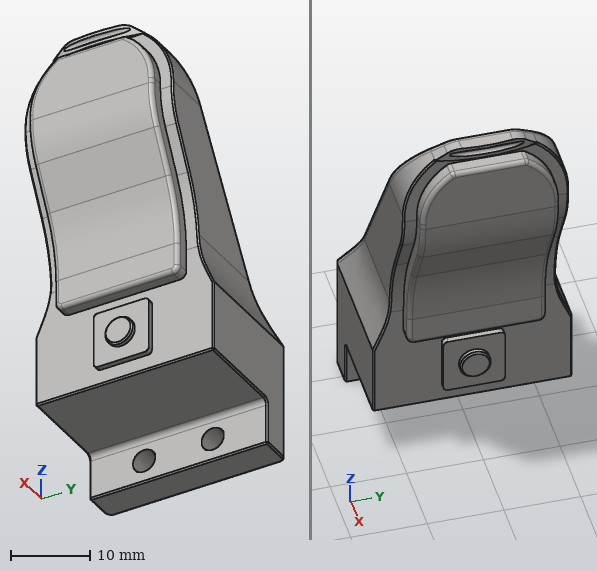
import cadquery as cq
import math

overall_height = 54.35
base_width = 26.0
base_depth = 18.25
base_top = 16.75
base_underside = 6.5
flange_thickness = 4.8
flange_corner_radius = 0.75
screw_hole_diameter = 3.25
screw_hole_spacing = 10.0
screw_hole_height = 3.2

arm_width = 21.65
arm_radius = arm_width / 2
arm_arc_height = 44.0
front_lean = 31.7
flare_top = 24.45
flare_lean = 22.0
tip_lean = 38.0
tip_corner_radius = 3.0
front_edge_radius = 1.0
edge_chamfer = 0.2
facing_limit = 0.5

pad_thickness = 2.05
overall_depth = 26.8
back_top_x = overall_depth - pad_thickness
back_lean = 27.0
upper_bend_height = 43.25
upper_bend_radius = 10.85
lower_bend_radius = 21.75

lip_bottom = 52.45
lip_half_width = 6.65
lip_bulge = 0.8
lip_groove_height = 53.4
lip_groove_radius = 0.45

plate_size = 8.05
plate_thickness = 0.8
plate_corner_radius = 0.6
plate_centre_height = 12.75
button_diameter = 4.0
button_thickness = 0.75

pad_inset = 1.8
pad_bottom = 18.55
pad_top = 51.65
pad_corner_radius = 1.0
pad_edge_radius = 0.6


def sin_deg(angle):
    return math.sin(math.radians(angle))


def cos_deg(angle):
    return math.cos(math.radians(angle))


def tan_deg(angle):
    return math.tan(math.radians(angle))


def s_curve(sketch, offset, start_z, end_z):
    """Draw the S-shaped back upwards from start_z to end_z, moved outwards by offset."""
    upper_radius = upper_bend_radius + offset
    lower_radius = lower_bend_radius - offset
    top_x = back_top_x + offset
    bottom_x = base_depth + offset
    half_lean = back_lean / 2

    upper_bend_x = top_x - upper_radius * (1 - cos_deg(back_lean))
    upper_bend_z = upper_bend_height - upper_radius * sin_deg(back_lean)
    lower_bend_x = bottom_x + lower_radius * (1 - cos_deg(back_lean))
    lower_bend_z = upper_bend_z - (upper_bend_x - lower_bend_x) / tan_deg(back_lean)
    lower_end_z = lower_bend_z - lower_radius * sin_deg(back_lean)

    lower_middle = (
        bottom_x + lower_radius * (1 - cos_deg(half_lean)),
        lower_end_z + lower_radius * sin_deg(half_lean),
    )
    upper_middle = (
        top_x - upper_radius * (1 - cos_deg(half_lean)),
        upper_bend_height - upper_radius * sin_deg(half_lean),
    )
    return (
        sketch.lineTo(bottom_x, start_z)
        .lineTo(bottom_x, lower_end_z)
        .threePointArc(lower_middle, (lower_bend_x, lower_bend_z))
        .lineTo(upper_bend_x, upper_bend_z)
        .threePointArc(upper_middle, (top_x, upper_bend_height))
        .lineTo(top_x, end_z)
    )


def bracket_side():
    """Side profile of the bracket, extruded over the full width."""
    front_top_x = (overall_height - base_top) * tan_deg(front_lean)
    sketch = (
        cq.Workplane("XZ")
        .moveTo(0, base_top)
        .lineTo(0, 0)
        .lineTo(flange_thickness - edge_chamfer, 0)
        .lineTo(flange_thickness, edge_chamfer)
        .lineTo(flange_thickness, base_underside)
        .lineTo(base_depth - edge_chamfer, base_underside)
    )
    sketch = s_curve(sketch, 0, base_underside + edge_chamfer, overall_height)
    return sketch.lineTo(front_top_x, overall_height).close().extrude(base_width / 2, both=True)


def bracket_outline():
    """Outline of the bracket across its width, extruded over the full depth."""
    half_base = base_width / 2
    flare_direction = (-sin_deg(flare_lean), cos_deg(flare_lean))

    def on_round_end(angle):
        return (arm_radius * sin_deg(angle), arm_arc_height + arm_radius * cos_deg(angle))

    flank_y, flank_z = on_round_end(tip_lean)
    corner_rise = tip_corner_radius * (1 - cos_deg(tip_lean))
    corner_z = overall_height - corner_rise
    corner_y = flank_y - (corner_z - flank_z) / tan_deg(tip_lean)
    flat_y = corner_y - tip_corner_radius * sin_deg(tip_lean)
    corner_middle = (
        flat_y + tip_corner_radius * sin_deg(tip_lean / 2),
        overall_height - tip_corner_radius * (1 - cos_deg(tip_lean / 2)),
    )
    return (
        cq.Workplane("YZ")
        .moveTo(0, 0)
        .lineTo(half_base, 0)
        .lineTo(half_base, base_top)
        .spline([(arm_radius, flare_top)], tangents=[flare_direction, (0, 1)], includeCurrent=True)
        .lineTo(arm_radius, arm_arc_height)
        .threePointArc(on_round_end((90 + tip_lean) / 2), (flank_y, flank_z))
        .lineTo(corner_y, corner_z)
        .threePointArc(corner_middle, (flat_y, overall_height))
        .lineTo(0, overall_height)
        .mirrorY()
        .extrude(overall_depth)
    )


def tip_lip(outline):
    """Bulging lip behind the tip, with a groove across its back."""
    lip = (
        cq.Workplane("XY", origin=(0, 0, lip_bottom))
        .moveTo(back_top_x - lip_bulge, -lip_half_width)
        .lineTo(back_top_x, -lip_half_width)
        .threePointArc((back_top_x + lip_bulge, 0), (back_top_x, lip_half_width))
        .lineTo(back_top_x - lip_bulge, lip_half_width)
        .close()
        .extrude(overall_height - lip_bottom)
    )
    groove = (
        cq.Workplane("XZ")
        .center(back_top_x + lip_bulge, lip_groove_height)
        .circle(lip_groove_radius)
        .extrude(lip_half_width, both=True)
    )
    return lip.intersect(outline).cut(groove)


def plate_and_button():
    """Raised rounded plate on the back of the base, carrying a round button."""
    plate = (
        cq.Workplane("YZ", origin=(base_depth, 0, plate_centre_height))
        .rect(plate_size, plate_size)
        .extrude(plate_thickness)
        .edges("|X")
        .fillet(plate_corner_radius)
    )
    button = (
        cq.Workplane("YZ", origin=(base_depth + plate_thickness, 0, plate_centre_height))
        .circle(button_diameter / 2)
        .extrude(button_thickness)
        .faces(">X")
        .chamfer(edge_chamfer)
    )
    return plate.union(button)


def screw_holes():
    half_spacing = screw_hole_spacing / 2
    return (
        cq.Workplane("YZ")
        .pushPoints([(-half_spacing, screw_hole_height), (half_spacing, screw_hole_height)])
        .circle(screw_hole_diameter / 2)
        .extrude(flange_thickness)
    )


def is_slope_face(face):
    """True for the sloping front face, which alone leans up and towards -X."""
    normal = face.normalAt()
    return face.geomType() == "PLANE" and normal.x < -facing_limit and normal.z > facing_limit


def is_back_or_underside(face):
    """True for faces that mainly look towards +X or -Z."""
    normal = face.normalAt()
    return normal.x > facing_limit or normal.z < -facing_limit


def round_slope(body):
    """Round the side and top edges of the sloping front face."""
    slope = next(face for face in body.faces().vals() if is_slope_face(face))
    edges = [edge for edge in slope.Edges() if edge.Center().z > base_top + edge_chamfer]
    return body.newObject(edges).fillet(front_edge_radius)


def base_plan():
    """Full-height block of the base footprint with rounded front corners."""
    return (
        cq.Workplane("XY")
        .box(overall_depth, base_width, overall_height, centered=(False, True, False))
        .edges("|Z and <X")
        .fillet(front_edge_radius)
    )


def chamfer_rim(body):
    """Chamfer the outline of the back and the underside, leaving the joints between their faces."""
    faces = [face for face in body.faces().vals() if is_back_or_underside(face)]
    edges = [edge for face in faces for edge in face.Edges()]
    rim = [edge for edge in edges if sum(edge.isSame(other) for other in edges) == 1]
    return body.newObject(rim).chamfer(edge_chamfer)


def round_inside_corner(body):
    """Round the corner between the flange and the underside of the base."""
    corner = cq.selectors.NearestToPointSelector((flange_thickness, 0, base_underside))
    return body.edges("|Y").edges(corner).fillet(flange_corner_radius)


def make_bracket():
    outline = bracket_outline()
    body = bracket_side().intersect(outline)
    body = round_inside_corner(body)
    body = round_slope(body)
    body = body.intersect(base_plan())
    body = chamfer_rim(body)
    return body.union(tip_lip(outline)).union(plate_and_button()).cut(screw_holes())


def pad_outline():
    """Outline of the pad across its width: round sides, flat top and rounded corners."""
    radius = arm_radius - pad_inset
    round_end = cq.Workplane("YZ").center(0, arm_arc_height).circle(radius).extrude(overall_depth)
    straight_sides = (
        cq.Workplane("YZ")
        .center(0, (pad_bottom + arm_arc_height) / 2)
        .rect(2 * radius, arm_arc_height - pad_bottom)
        .extrude(overall_depth)
    )
    height_limit = cq.Workplane("XY", origin=(0, 0, pad_bottom)).box(
        overall_depth, base_width, pad_top - pad_bottom, centered=(False, True, False)
    )
    blank = straight_sides.union(round_end).clean().intersect(height_limit)
    return blank.edges("|X").edges("<Z or >Z").fillet(pad_corner_radius)


def is_outer_pad_edge(edge):
    """True for edges that lie wholly behind the base, on the outer face of the pad blank."""
    return edge.BoundingBox().xmin > base_depth + edge_chamfer


def make_pad():
    """Cushion of even thickness that follows the S-shaped back of the arm."""
    def space_in_front(offset):
        curve = s_curve(cq.Workplane("XZ").moveTo(0, 0), offset, 0, overall_height)
        return curve.lineTo(0, overall_height).close().extrude(base_width / 2, both=True)

    blank = space_in_front(pad_thickness).intersect(pad_outline())
    outer_edges = [edge for edge in blank.edges().vals() if is_outer_pad_edge(edge)]
    return blank.newObject(outer_edges).fillet(pad_edge_radius).cut(space_in_front(0))


bracket = make_bracket()
pad = make_pad()
result = cq.Compound.makeCompound([bracket.solids().val(), pad.solids().val()])